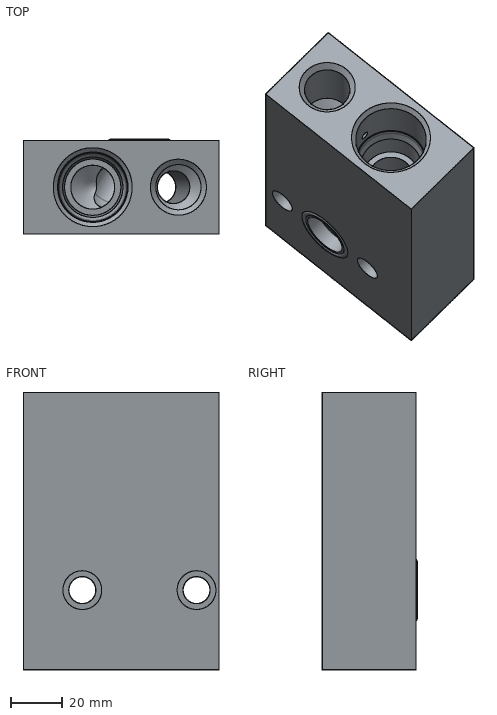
import cadquery as cq
import math

block_width = 76.2
block_height = 107.95
overall_depth = 36.98
block_depth = 36.5125
mid_depth = block_depth / 2

drill_point_slope = math.tan(math.radians(90 - 118 / 2))

large_port_x = 27.0
large_mouth_diameter = 30.7
large_bore_diameter = 27.4
large_bore_depth = 19.6
step_diameter = 26.7
step_depth = 20.6
seat_mouth_diameter = 25.9
seat_taper_depth = 23.0
seat_diameter = 23.5
seat_floor_diameter = 21.9
seat_floor_depth = 32.0
pilot_diameter = 17.1
pilot_tip_depth = 69.4

small_port_x = 60.35
small_mouth_diameter = 21.8
small_bore_diameter = 17.6
small_bore_depth = 25.4

passage_diameter = 12.7
passage_tilt = math.radians(3.95)

cross_hole_diameter = 3.2
cross_hole_depth = 15.2

mounting_hole_z = 31.0
mounting_hole_x = 22.95
mounting_hole_spacing = 44.45
mounting_hole_count = 2
mounting_hole_diameter = 10.4
counterbore_diameter = 15.1
counterbore_depth = 7.9

side_port_x = mounting_hole_x + mounting_hole_spacing / 2
side_port_z = mounting_hole_z
side_port_diameter = 18.0
side_port_depth = 6.0

feed_diameter = 12.7
feed_heading = math.radians(57.0)
feed_rise = math.radians(30.0)
feed_length = 27.7

ring_section_diameter = 2.6
ring_centre_diameter = 22.0
ring_centre_y = overall_depth - ring_section_diameter / 2


def rod(start, end, diameter):
    """Round bar between two points."""
    axis = end - start
    return cq.Workplane(cq.Solid.makeCylinder(diameter / 2, axis.Length, start, axis))


def turned_cutter(x, profile):
    """Round cutter about a vertical axis, from (diameter, depth below the top face) pairs."""
    points = [(diameter / 2, -depth) for diameter, depth in profile]
    cutter = cq.Workplane("XZ").polyline([(0, 0)] + points).close().revolve(360, (0, 0), (0, 1))
    return cutter.translate((x, mid_depth, block_height))


def large_port():
    mouth_chamfer = (large_mouth_diameter - large_bore_diameter) / 2
    pilot_depth = pilot_tip_depth - pilot_diameter / 2 * drill_point_slope
    return turned_cutter(large_port_x, [
        (large_mouth_diameter, 0),
        (large_bore_diameter, mouth_chamfer),
        (large_bore_diameter, large_bore_depth),
        (step_diameter, large_bore_depth),
        (seat_mouth_diameter, step_depth),
        (seat_diameter, seat_taper_depth),
        (seat_floor_diameter, seat_floor_depth),
        (pilot_diameter, seat_floor_depth),
        (pilot_diameter, pilot_depth),
        (0, pilot_tip_depth),
    ])


def small_port():
    mouth_chamfer = (small_mouth_diameter - small_bore_diameter) / 2
    tip_depth = small_bore_depth + small_bore_diameter / 2 * drill_point_slope
    return turned_cutter(small_port_x, [
        (small_mouth_diameter, 0),
        (small_bore_diameter, mouth_chamfer),
        (small_bore_diameter, small_bore_depth),
        (0, tip_depth),
    ])


def passage():
    """Tilted hole whose axis crosses the small port's axis at the top face."""
    def axis_point(depth):
        return cq.Vector(small_port_x - depth * math.tan(passage_tilt), mid_depth, block_height - depth)

    return rod(axis_point(small_bore_depth), axis_point(block_height + passage_diameter), passage_diameter)


def cross_hole():
    z = block_height - cross_hole_depth
    start = cq.Vector(large_port_x, mid_depth, z)
    end = cq.Vector(small_port_x, mid_depth, z)
    return rod(start, end, cross_hole_diameter)


def side_port():
    mouth = cq.Vector(side_port_x, block_depth, side_port_z)
    floor = mouth - cq.Vector(0, side_port_depth, 0)
    return rod(floor, mouth, side_port_diameter)


def feed():
    direction = cq.Vector(
        -math.cos(feed_rise) * math.cos(feed_heading),
        -math.cos(feed_rise) * math.sin(feed_heading),
        math.sin(feed_rise),
    )
    start = cq.Vector(side_port_x, block_depth, side_port_z)
    end = start + direction * feed_length
    nose = cq.Workplane("XY").sphere(feed_diameter / 2).translate(end)
    return rod(start, end, feed_diameter).union(nose)


def mounting_hole(x):
    front = cq.Vector(x, 0, mounting_hole_z)
    through = rod(front, front + cq.Vector(0, block_depth, 0), mounting_hole_diameter)
    counterbore = rod(front, front + cq.Vector(0, counterbore_depth, 0), counterbore_diameter)
    return through.union(counterbore)


def make_sealing_ring():
    centre = cq.Vector(side_port_x, ring_centre_y, side_port_z)
    axis = cq.Vector(0, 1, 0)
    torus = cq.Solid.makeTorus(ring_centre_diameter / 2, ring_section_diameter / 2, centre, axis)
    return cq.Workplane(torus)


def make_block(sealing_ring):
    """Ported block; the sealing ring leaves its own groove in the back face."""
    body = cq.Workplane().box(block_width, block_depth, block_height, centered=False)
    for port in (large_port(), small_port(), passage(), cross_hole(), side_port(), feed()):
        body = body.cut(port)
    for index in range(mounting_hole_count):
        body = body.cut(mounting_hole(mounting_hole_x + index * mounting_hole_spacing))
    return body.cut(sealing_ring)


ring = make_sealing_ring()
block = make_block(ring)

result = cq.Compound.makeCompound([block.val(), ring.val()])